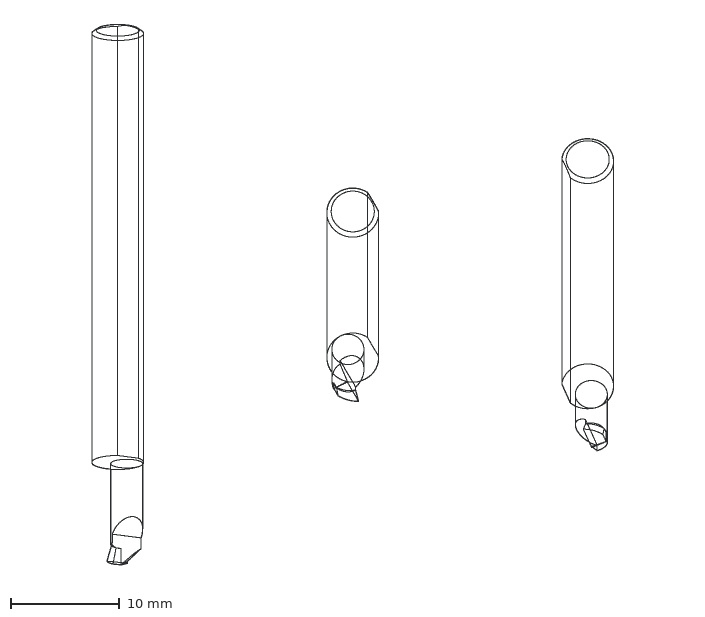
import cadquery as cq
import math

total_length = 50.8
shank_diameter = 4.8
shank_radius = shank_diameter / 2
width_across_flat = 4.5
flat_y = width_across_flat - shank_radius
shank_bottom = 9.55
chamfer_width = 0.4
chamfer_height = 0.3

neck_radius = 1.45
neck_x = shank_radius - neck_radius
relief_start = 2.65

tip_x = -1.1
tip_top = 1.85
tip_right = 1.0
tip_depth = 1.4
neck_left = neck_x - neck_radius
right_rise = 0.05
clearance_bulge = 0.15
front_left_top = 0.5
front_left_bottom = 0.15
front_bottom = 0.2
heel_bottom = 0.25
heel_top = 1.65


def make_shank():
    """Round shank with a chamfered upper end and a flat on the +Y side."""
    profile = [
        (0, shank_bottom),
        (shank_radius, shank_bottom),
        (shank_radius, total_length - chamfer_height),
        (shank_radius - chamfer_width, total_length),
        (0, total_length),
    ]
    shank = cq.Workplane("XZ").polyline(profile).close().revolve(360, (0, 0), (0, 1))
    keep = cq.Workplane("XY").box(
        shank_diameter, width_across_flat, total_length, centered=(True, False, False)
    )
    return shank.intersect(keep.translate((0, flat_y - width_across_flat, 0)))


def make_neck():
    """Eccentric round neck, relieved behind the rake plane and beside the tip."""
    neck = cq.Workplane("XY").center(neck_x, 0).circle(neck_radius).extrude(shank_bottom)

    relief_points = [
        (0, 0),
        (0, relief_start),
        (shank_diameter, relief_start + shank_diameter),
        (shank_diameter, 0),
    ]
    relief = cq.Workplane("YZ").polyline(relief_points).close().extrude(shank_radius, both=True)

    clearance_points = [
        (-shank_radius, tip_top),
        (tip_right, tip_top),
        (tip_right, heel_bottom),
        (shank_radius, heel_top),
        (shank_radius, 0),
        (-shank_radius, 0),
    ]
    clearance = cq.Workplane("XZ").polyline(clearance_points).close().extrude(shank_radius, both=True)
    return neck.cut(relief).cut(clearance)


def tip_section(rake_corner_x, front_corner_x):
    """Plan outline of the tip with a slightly bulged clearance side."""
    chord_x = front_corner_x - rake_corner_x
    chord_length = math.hypot(chord_x, tip_depth)
    bulge_point = (
        (rake_corner_x + front_corner_x) / 2 - clearance_bulge * tip_depth / chord_length,
        -tip_depth / 2 - clearance_bulge * chord_x / chord_length,
    )
    return (
        cq.Sketch()
        .arc((rake_corner_x, 0), bulge_point, (front_corner_x, -tip_depth))
        .segment((tip_right, -tip_depth))
        .segment((tip_right, 0))
        .close()
        .assemble()
    )


def make_tip():
    """Tip whose left and lower sides fall away from the rake face."""
    body = (
        cq.Workplane("XY")
        .placeSketch(
            tip_section(tip_x, front_left_bottom),
            tip_section(neck_left, front_left_top).moved(cq.Location(cq.Vector(0, 0, tip_top))),
        )
        .loft(ruled=True)
    )
    front_face = [
        (tip_x, front_bottom),
        (tip_x, tip_top),
        (tip_right, tip_top),
        (tip_right, front_bottom + right_rise),
    ]
    rake_face = [
        (tip_x, 0),
        (tip_x, tip_top),
        (tip_right, tip_top),
        (tip_right, right_rise),
    ]
    envelope = (
        cq.Workplane("XZ")
        .polyline(rake_face)
        .close()
        .workplane(offset=tip_depth)
        .polyline(front_face)
        .close()
        .loft(ruled=True)
    )
    return body.intersect(envelope)


result = make_shank().union(make_neck()).union(make_tip())